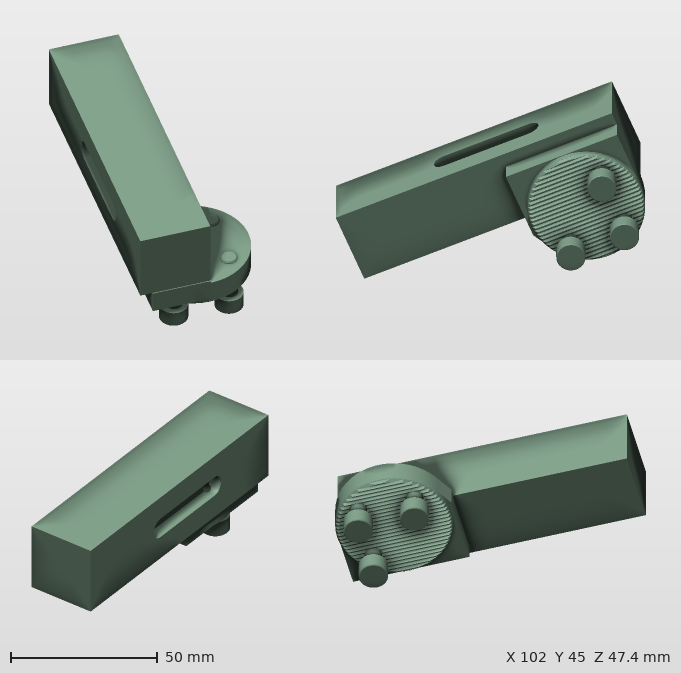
import cadquery as cq
import math

BAR_LENGTH = 101.9
BAR_SIDE = 25.0

SLOT_LEFT = 36.2
SLOT_LENGTH = 38.6
SLOT_HEIGHT = 7.5
SLOT_DEPTH = 4.5

HOLE_DIAMETER = 3.1
HOLE_X = 72.3
HOLE_Z = 9.4
HOLE_DEPTH = 10.2
HOLE_DIRECTION = cq.Vector(0.7, 1.3, -1)

DISC_RADIUS = 20.0
DISC_X = 82.0
DISC_Y = BAR_SIDE
DISC_BOTTOM = -10.5
DISC_CHAMFER = 1.0

BLOCK_LEFT = 60.9
BLOCK_FRONT = 4.5
BLOCK_BOTTOM = -8.4
TANGENT_ANGLE = math.radians(150)
COLLAR_SIZE = 0.3

CLEARANCE = 0.3
PLATE_TOP = -CLEARANCE

STEP_DEPTH = 0.7

TOOTH_COUNT = 26
TOOTH_SPAN = 37.5
SERRATION_PITCH = TOOTH_SPAN / (TOOTH_COUNT - 1)
SERRATION_TIP = 0.4
SERRATION_DEPTH = 0.9
GROOVE_COUNT = TOOTH_COUNT + 1

SCREW_SPACING = 19.8
SHANK_DIAMETER = 6.0
TIP_CHAMFER = 0.5
HEAD_DIAMETER = 10.0
HEAD_HEIGHT = 6.0
HEAD_BOTTOM = -22.4
HEAD_CHAMFER = 0.3
NECK_FILLET = 0.3

SCREW_LEFT = DISC_X - SCREW_SPACING / 2
SCREW_RIGHT = DISC_X + SCREW_SPACING / 2
SCREW_FRONT = DISC_Y - SCREW_SPACING / 2
SCREW_REAR = DISC_Y + SCREW_SPACING / 2
SCREW_POSITIONS = [(SCREW_LEFT, SCREW_REAR), (SCREW_RIGHT, SCREW_REAR), (SCREW_RIGHT, SCREW_FRONT)]


def make_bar():
    bar = cq.Workplane("XY").box(BAR_LENGTH, BAR_SIDE, BAR_SIDE, centered=False)
    slot = (
        cq.Workplane("XZ")
        .center(SLOT_LEFT + SLOT_LENGTH / 2, BAR_SIDE / 2)
        .slot2D(SLOT_LENGTH, SLOT_HEIGHT)
        .extrude(-SLOT_DEPTH)
    )
    direction = HOLE_DIRECTION.normalized()
    floor_point = cq.Vector(HOLE_X, SLOT_DEPTH, HOLE_Z)
    lead = HOLE_DIAMETER / 2
    hole = cq.Solid.makeCylinder(
        HOLE_DIAMETER / 2, HOLE_DEPTH + lead, floor_point - direction * lead, direction
    )
    return bar.cut(slot).cut(cq.Workplane(hole))


def make_disc():
    return (
        cq.Workplane("XY", origin=(DISC_X, DISC_Y, DISC_BOTTOM))
        .circle(DISC_RADIUS)
        .extrude(PLATE_TOP - DISC_BOTTOM)
        .faces("<Z")
        .chamfer(DISC_CHAMFER)
    )


def make_block():
    """Block with a slanted rear left side, tangent to the disc, and a tapered collar on its underside."""
    tangent_x = DISC_X + DISC_RADIUS * math.cos(TANGENT_ANGLE)
    tangent_y = DISC_Y + DISC_RADIUS * math.sin(TANGENT_ANGLE)
    corner_y = tangent_y + (tangent_x - BLOCK_LEFT) / math.tan(TANGENT_ANGLE)
    outline = (
        cq.Workplane("XY", origin=(0, 0, BLOCK_BOTTOM - COLLAR_SIZE))
        .moveTo(BLOCK_LEFT, BLOCK_FRONT)
        .lineTo(BAR_LENGTH, BLOCK_FRONT)
        .lineTo(BAR_LENGTH, DISC_Y)
        .lineTo(DISC_X, DISC_Y)
        .lineTo(tangent_x, tangent_y)
        .lineTo(BLOCK_LEFT, corner_y)
        .close()
        .extrude(PLATE_TOP - BLOCK_BOTTOM + COLLAR_SIZE)
    )
    reach = 2 * DISC_RADIUS
    envelope = (
        cq.Workplane("XZ", origin=(DISC_X, DISC_Y, 0))
        .moveTo(0, BLOCK_BOTTOM - COLLAR_SIZE)
        .lineTo(DISC_RADIUS, BLOCK_BOTTOM - COLLAR_SIZE)
        .lineTo(DISC_RADIUS + COLLAR_SIZE, BLOCK_BOTTOM)
        .lineTo(reach, BLOCK_BOTTOM)
        .lineTo(reach, PLATE_TOP)
        .lineTo(0, PLATE_TOP)
        .close()
        .revolve(360, (0, 0, 0), (0, 1, 0))
    )
    return outline.intersect(envelope)


def make_serration_grooves():
    half_mouth = (SERRATION_PITCH - SERRATION_TIP) / 2
    first_y = DISC_Y - SERRATION_PITCH * (GROOVE_COUNT - 1) / 2
    grooves = cq.Workplane("YZ", origin=(DISC_X - DISC_RADIUS, 0, DISC_BOTTOM))
    for index in range(GROOVE_COUNT):
        y = first_y + index * SERRATION_PITCH
        grooves = (
            grooves.moveTo(y - half_mouth, 0)
            .lineTo(y, SERRATION_DEPTH)
            .lineTo(y + half_mouth, 0)
            .close()
        )
    return grooves.extrude(2 * DISC_RADIUS)


def make_plate():
    plate = make_disc().union(make_block())
    step = (
        cq.Workplane("XY")
        .box(DISC_X + DISC_RADIUS - BLOCK_LEFT, DISC_RADIUS, STEP_DEPTH, centered=False)
        .translate((BLOCK_LEFT, BAR_SIDE + CLEARANCE, PLATE_TOP - STEP_DEPTH))
    )
    screw_holes = (
        cq.Workplane("XY")
        .pushPoints(SCREW_POSITIONS)
        .circle(SHANK_DIAMETER / 2)
        .extrude(DISC_BOTTOM)
    )
    return plate.cut(step).cut(make_serration_grooves()).cut(screw_holes)


def make_screw(x, y):
    """Cap screw revolved about its own axis, with a rounded neck where the shank meets the head."""
    head_radius = HEAD_DIAMETER / 2
    shank_radius = SHANK_DIAMETER / 2
    head_top = HEAD_BOTTOM + HEAD_HEIGHT
    neck_middle = NECK_FILLET * (1 - math.sqrt(0.5))
    return (
        cq.Workplane("XZ", origin=(x, y, 0))
        .moveTo(0, HEAD_BOTTOM)
        .lineTo(head_radius - HEAD_CHAMFER, HEAD_BOTTOM)
        .lineTo(head_radius, HEAD_BOTTOM + HEAD_CHAMFER)
        .lineTo(head_radius, head_top)
        .lineTo(shank_radius + NECK_FILLET, head_top)
        .threePointArc(
            (shank_radius + neck_middle, head_top + neck_middle),
            (shank_radius, head_top + NECK_FILLET),
        )
        .lineTo(shank_radius, PLATE_TOP - TIP_CHAMFER)
        .lineTo(shank_radius - TIP_CHAMFER, PLATE_TOP)
        .lineTo(0, PLATE_TOP)
        .close()
        .revolve(360, (0, 0, 0), (0, 1, 0))
    )


bar = make_bar()
plate = make_plate()
screws = [make_screw(x, y) for x, y in SCREW_POSITIONS]

result = cq.Compound.makeCompound([bar.val(), plate.val(), *[screw.val() for screw in screws]])